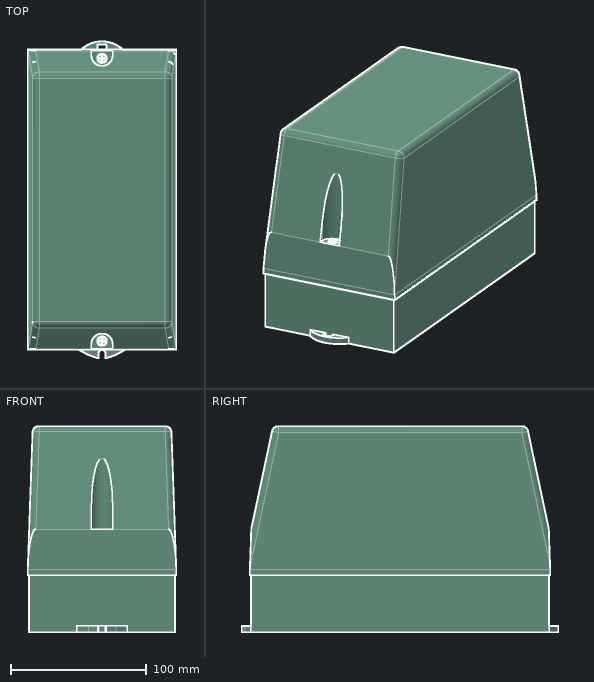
import cadquery as cq
import math

overall_length = 234.4
total_height = 152.5

base_width = 108.0
base_length = 220.5
base_height = 42.5

cover_width = 110.0
cover_length = 222.2
rim_height = 4.5
wall_draft = 2.0
edge_radius = 5.0

end_slope = 12.0
ridge_height = 76.5

recess_radius = 8.0
recess_axis_y = 106.9
screw_y = 104.5
screw_radius = 3.0
screw_gap = 0.5
screw_gap_depth = 1.2
cross_length = 5.2
cross_width = 1.2
cross_depth = 1.2

tab_thickness = 5.0
round_tab_radius = 22.5
tab_window_width = 6.5
tab_window_end_y = 114.5
slotted_tab_root_half_width = 18.5
slotted_tab_corner = (10.0, 114.8)
slotted_tab_tip_half_width = 3.3
slot_width = 5.2
slot_end_y = 111.0

rim_top = base_height + rim_height
base_end_y = base_length / 2
tab_end_y = overall_length / 2
draft_slope = math.tan(math.radians(wall_draft))
ridge_y = cover_length / 2 - (ridge_height - rim_top) * draft_slope


def frustum(bottom_z, bottom_size, top_size):
    """Solid with plane walls between a rectangle at bottom_z and one at the top of the part."""
    return (
        cq.Workplane("XY", origin=(0, 0, bottom_z))
        .rect(*bottom_size)
        .workplane(offset=total_height - bottom_z)
        .rect(*top_size)
        .loft(ruled=True)
    )


def make_cover():
    """Sharp-cornered drafted block trimmed by a rounded hood with sloping ends."""
    taper = 2 * (total_height - rim_top) * draft_slope
    top_width = cover_width - taper
    block_top_length = cover_length - taper
    block = frustum(rim_top, (cover_width, cover_length), (top_width, block_top_length))

    slope = math.tan(math.radians(end_slope))
    hood_bottom_length = 2 * (ridge_y + (ridge_height - rim_top) * slope)
    hood_top_length = 2 * (ridge_y - (total_height - ridge_height) * slope)
    hood = frustum(rim_top, (cover_width, hood_bottom_length), (top_width, hood_top_length))
    hood = hood.edges("not <Z").fillet(edge_radius)

    rim = cq.Workplane("XY", origin=(0, 0, base_height)).rect(cover_width, cover_length).extrude(rim_height)
    return block.intersect(hood).union(rim)


def make_screw_recess(end):
    """Upright round scoop with a flat floor level with the ridge, open to the outside."""
    floor = cq.Workplane("XY", origin=(0, 0, ridge_height))
    height = total_height - ridge_height
    scoop = floor.center(0, end * recess_axis_y).circle(recess_radius).extrude(height)
    mouth = floor.center(0, end * (recess_axis_y + recess_radius)).rect(2 * recess_radius, 2 * recess_radius)
    return scoop.union(mouth.extrude(height))


def make_screw_marks(end):
    """Ring-shaped gap around a flush screw head, and the cross recess in the head."""
    floor = cq.Workplane("XY", origin=(0, end * screw_y, ridge_height))
    gap = floor.circle(screw_radius + screw_gap).circle(screw_radius).extrude(-screw_gap_depth)
    cross = floor.rect(cross_length, cross_width).extrude(-cross_depth)
    cross = cross.union(floor.rect(cross_width, cross_length).extrude(-cross_depth))
    return gap.union(cross)


def make_round_tab():
    """Circular-segment tab on the +Y end with a rectangular window next to the wall."""
    disc = cq.Workplane("XY").center(0, tab_end_y - round_tab_radius).circle(round_tab_radius)
    window_depth = tab_window_end_y - base_end_y
    window = cq.Workplane("XY").center(0, base_end_y + window_depth / 2).rect(tab_window_width, window_depth)
    return disc.extrude(tab_thickness).cut(window.extrude(tab_thickness))


def make_slotted_tab():
    """Faceted tab on the -Y end with an open slot that has a round inner end."""
    corner_x, corner_y = slotted_tab_corner
    outline = [
        (-slotted_tab_root_half_width, -base_end_y),
        (-corner_x, -corner_y),
        (-slotted_tab_tip_half_width, -tab_end_y),
        (slotted_tab_tip_half_width, -tab_end_y),
        (corner_x, -corner_y),
        (slotted_tab_root_half_width, -base_end_y),
    ]
    tab = cq.Workplane("XY").polyline(outline).close().extrude(tab_thickness)
    slot_centre_y = -slot_end_y - slot_width / 2
    slot = (
        cq.Workplane("XY")
        .moveTo(-slot_width / 2, -tab_end_y)
        .lineTo(-slot_width / 2, slot_centre_y)
        .threePointArc((0, -slot_end_y), (slot_width / 2, slot_centre_y))
        .lineTo(slot_width / 2, -tab_end_y)
        .close()
        .extrude(tab_thickness)
    )
    return tab.cut(slot)


base = cq.Workplane("XY").rect(base_width, base_length).extrude(base_height)
result = base.union(make_cover())
for end in (-1, 1):
    result = result.cut(make_screw_recess(end)).cut(make_screw_marks(end))
result = result.union(make_round_tab()).union(make_slotted_tab())